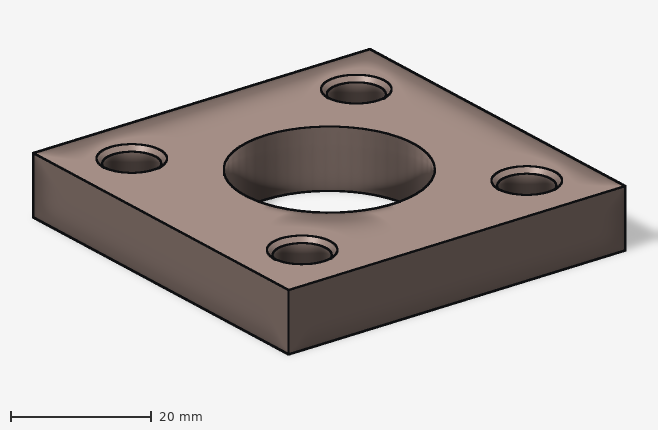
import cadquery as cq

plate_side = 60.0
plate_thickness = 10.0

bore_diameter = 30.0

bolt_spacing = 40.0
bolt_hole_diameter = 8.4
bolt_rim_diameter = 10.0
chamfer_angle = 90.0

plate = cq.Workplane("XY").box(plate_side, plate_side, plate_thickness)

bored_plate = plate.faces(">Z").workplane().hole(bore_diameter)

result = (
    bored_plate.faces(">Z")
    .workplane()
    .rect(bolt_spacing, bolt_spacing, forConstruction=True)
    .vertices()
    .cskHole(bolt_hole_diameter, bolt_rim_diameter, chamfer_angle)
)